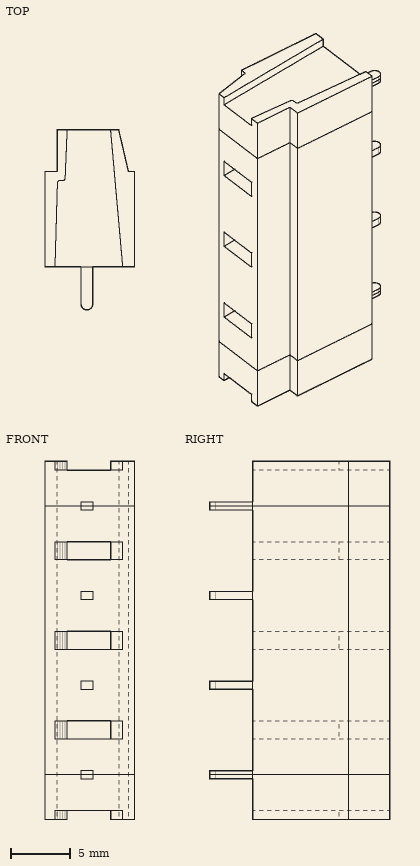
import cadquery as cq


pitch = 7.5
pole_count = 4
strip_length = pole_count * pitch
end_length = pitch / 2

housing_width = 7.5
half_width = housing_width / 2
shoulder_y = 8.0
housing_depth = 11.5
rear_left_x = -2.73
shoulder_right_x = 3.25
rear_right_x = 2.43

slot_height = 1.5
slot_front_left_x = -2.9
slot_step_outer_x = -2.7
slot_step_inner_x = -2.07
slot_rear_left_x = -1.9
slot_step_y = 7.23
slot_step_radius = 0.2
slot_front_right_x = 2.75
slot_rear_right_x = 1.75

pin_center_x = -0.25
pin_width = 1.0
pin_thickness = 0.7
pin_length = 3.6
pin_tip_radius = pin_width / 2

pin_levels = [(i + 0.5) * pitch - strip_length / 2 for i in range(pole_count)]
slot_levels = [i * pitch - strip_length / 2 for i in range(pole_count + 1)]


def housing_outline(plane):
    """Stepped housing with a sloping rear right side."""
    return plane.polyline(
        [
            (-half_width, 0),
            (half_width, 0),
            (half_width, shoulder_y),
            (shoulder_right_x, shoulder_y),
            (rear_right_x, housing_depth),
            (rear_left_x, housing_depth),
            (rear_left_x, shoulder_y),
            (-half_width, shoulder_y),
        ]
    ).close()


def slot_outline(plane):
    """Slot that narrows toward the rear, with a step in its left wall."""
    return plane.polyline(
        [
            (slot_front_left_x, 0),
            (slot_front_right_x, 0),
            (slot_rear_right_x, housing_depth),
            (slot_rear_left_x, housing_depth),
            (slot_step_inner_x, slot_step_y),
            (slot_step_outer_x, slot_step_y),
        ]
    ).close()


def pin_outline(plane):
    """Straight pin with a round tip."""
    left_x = pin_center_x - pin_width / 2
    right_x = pin_center_x + pin_width / 2
    tip_start_y = pin_tip_radius - pin_length
    return (
        plane.moveTo(left_x, 0)
        .lineTo(left_x, tip_start_y)
        .threePointArc((pin_center_x, -pin_length), (right_x, tip_start_y))
        .lineTo(right_x, 0)
        .close()
    )


def extrude_between(outline, bottom, top):
    """Extrude an XY outline from Z = bottom to Z = top."""
    return outline(cq.Workplane("XY").workplane(offset=bottom)).extrude(top - bottom)


def clipped_spans(levels, height, bottom, top):
    """Z spans of features centred on the levels, limited to the section from bottom to top."""
    spans = [(max(z - height / 2, bottom), min(z + height / 2, top)) for z in levels]
    return [(low, high) for low, high in spans if low < high]


def slot_cutter(bottom, top):
    """Slot volume with both corners of its wall step rounded."""
    mid_z = (bottom + top) / 2
    cutter = extrude_between(slot_outline, bottom, top)
    for corner_x in (slot_step_inner_x, slot_step_outer_x):
        corner = cq.selectors.NearestToPointSelector((corner_x, slot_step_y, mid_z))
        cutter = cutter.edges("|Z").edges(corner).fillet(slot_step_radius)
    return cutter


def strip_section(bottom, top):
    """One solid of the strip, with the slots and the pin parts that lie in it."""
    section = extrude_between(housing_outline, bottom, top)
    for low, high in clipped_spans(slot_levels, slot_height, bottom, top):
        section = section.cut(slot_cutter(low, high))
    for low, high in clipped_spans(pin_levels, pin_thickness, bottom, top):
        section = section.union(extrude_between(pin_outline, low, high))
    return section


def middle_section():
    """Section from the first pin to the last, with half of each of those two pins."""
    return strip_section(pin_levels[0], pin_levels[-1])


def end_section(side):
    """Half-pitch section at the +Z (side = 1) or -Z (side = -1) end, with half of a pin."""
    outer_z = side * strip_length / 2
    inner_z = side * (strip_length / 2 - end_length)
    return strip_section(min(outer_z, inner_z), max(outer_z, inner_z))


middle = middle_section()
ends = [end_section(side) for side in (-1, 1)]

result = cq.Compound.makeCompound([middle.val(), *[end.val() for end in ends]])